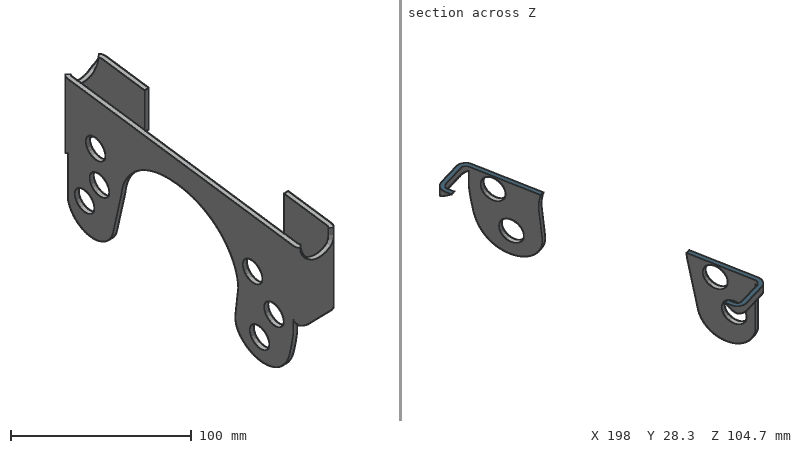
import cadquery as cq
import math

length = 198.0
depth = 28.3
thickness = 3.2
bend_outer = 6.1
bend_inner = bend_outer - thickness
bend_neutral = (bend_outer + bend_inner) / 2
half_length = length / 2
half_depth = depth / 2
plate_edge = half_length - bend_outer
flat_half = half_depth - bend_outer

side_height = 57.8
flange_tip = 57.5
slope_start = 96.5
slope_angle = 34.5

notch_radius = 11.9
notch_center_z = -1.0
clearance = 2.0

hole_diameter = 16.0
hole_centers = [
    (-70.0, -36.6), (-67.0, -61.5), (-79.2, -81.5),
    (59.4, -41.5), (77.0, -61.5), (65.1, -86.5),
]


def front_plate():
    """Flat plate with two legs around a central arch."""
    arch_left = (-48.7, -56.2)
    arch_right = (47.5, -61.8)
    arch_points = [
        (-43.8, -40.5), (-29.5, -25.5), (-1.8, -18.0),
        (17.0, -21.2), (32.5, -30.3), (43.5, -45.1), arch_right,
    ]
    left_leg_inner = (-55.6, -89.5)
    right_leg_inner = (45.1, -83.2)
    right_leg_points = [
        (48.7, -95.5), (56.2, -101.4), (66.0, -103.5),
        (78.0, -100.4), (86.1, -92.3), (90.7, -79.8), (plate_edge, -66.3),
    ]
    plate = (
        cq.Workplane("XZ", origin=(0, -half_depth + thickness, 0))
        .moveTo(-plate_edge, 0)
        .lineTo(-plate_edge, -89.7)
        .threePointArc((-75.6, -104.7), left_leg_inner)
        .lineTo(*arch_left)
        .spline(arch_points, includeCurrent=True)
        .lineTo(*right_leg_inner)
        .spline(right_leg_points, includeCurrent=True)
        .lineTo(plate_edge, 0)
        .close()
        .extrude(thickness)
    )
    holes = (
        cq.Workplane("XZ", origin=(0, -half_depth + thickness, 0))
        .pushPoints(hole_centers)
        .circle(hole_diameter / 2)
        .extrude(thickness)
    )
    return plate.cut(holes)


def bent_channel():
    """Right-hand C section: front bend, side wall, rear bend and rear flange."""
    def rounded_bar(half_x, half_y, radius):
        return (
            cq.Workplane("XY")
            .rect(2 * half_x, 2 * half_y)
            .extrude(-side_height)
            .edges("|Z")
            .fillet(radius)
        )

    tube = rounded_bar(half_length, half_depth, bend_outer).cut(
        rounded_bar(half_length - thickness, half_depth - thickness, bend_inner)
    )
    hook_region = (
        cq.Workplane("XY")
        .moveTo(flange_tip, half_depth)
        .lineTo(half_length, half_depth)
        .lineTo(half_length, -half_depth)
        .lineTo(plate_edge, -half_depth)
        .lineTo(plate_edge, 0)
        .lineTo(flange_tip, 0)
        .close()
        .extrude(-side_height)
    )
    slope_rise = (slope_start - flange_tip) * math.tan(math.radians(slope_angle))
    below_slope = (
        cq.Workplane("XZ")
        .moveTo(slope_start, -side_height)
        .lineTo(flange_tip, -side_height)
        .lineTo(flange_tip, -side_height + slope_rise)
        .close()
        .extrude(half_depth, both=True)
    )
    return tube.intersect(hook_region).cut(below_slope)


def flat_notch():
    """Part of the notch that lies in the flat side wall."""
    shoulder_z = notch_center_z - math.sqrt(notch_radius**2 - flat_half**2)
    return (
        cq.Workplane("YZ", origin=(half_length - thickness - clearance, 0, 0))
        .moveTo(-flat_half, clearance)
        .lineTo(-flat_half, shoulder_z)
        .threePointArc((0, notch_center_z - notch_radius), (flat_half, shoulder_z))
        .lineTo(flat_half, clearance)
        .close()
        .extrude(thickness + 2 * clearance)
    )


def bend_notch():
    """Rest of the notch wrapped round the rear bend, with walls square to the sheet."""
    inner = bend_inner / 2
    outer = bend_outer + clearance
    start = math.asin(flat_half / notch_radius)
    steps = 8

    def wrapped_edges(radius):
        lower = []
        upper = []
        for i in range(steps + 1):
            turn = start + (math.pi / 2 - start) * i / steps
            bend_angle = (notch_radius * math.sin(turn) - flat_half) / bend_neutral
            x = plate_edge + radius * math.cos(bend_angle)
            y = flat_half + radius * math.sin(bend_angle)
            lower.append(cq.Vector(x, y, notch_center_z - notch_radius * math.cos(turn)))
            upper.append(cq.Vector(x, y, clearance))
        return [
            cq.Edge.makeSpline(lower),
            cq.Edge.makeLine(lower[-1], upper[-1]),
            cq.Edge.makeSpline(upper),
            cq.Edge.makeLine(lower[0], upper[0]),
        ]

    inner_edges = wrapped_edges(inner)
    outer_edges = wrapped_edges(outer)
    faces = [cq.Face.makeRuledSurface(a, b) for a, b in zip(inner_edges, outer_edges)]
    for edges in (inner_edges, outer_edges):
        faces.append(cq.Face.makeRuledSurface(edges[0], edges[2]))
    solid = cq.Solid.makeSolid(cq.Shell.makeShell(faces))
    return cq.Workplane("XY").newObject([solid.fix()])


rear_notch = bend_notch()
right_hook = bent_channel().cut(flat_notch()).cut(rear_notch).cut(rear_notch.mirror("XZ"))
left_hook = right_hook.mirror("YZ")

result = front_plate().union(right_hook).union(left_hook)